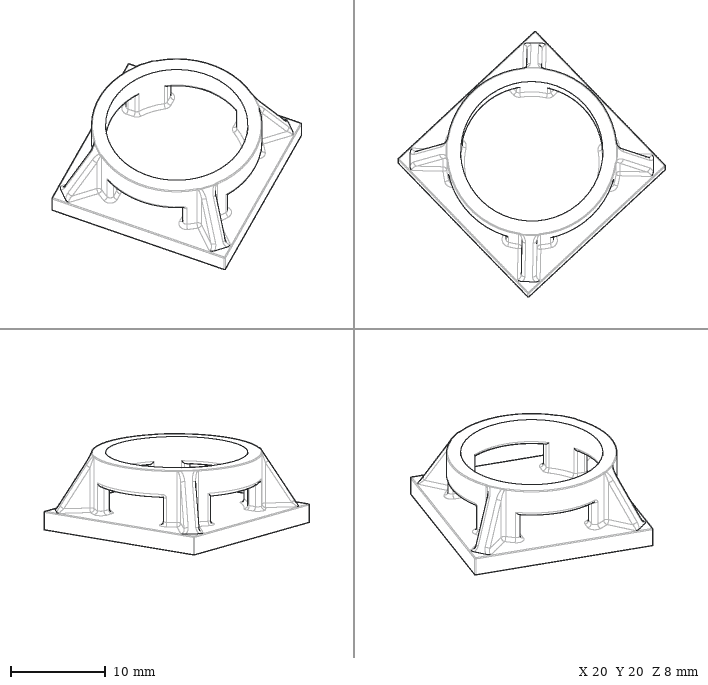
import cadquery as cq
import math

base_side = 20.0
base_height = 2.0
total_height = 8.0

ring_diameter = 18.0
bore_diameter = 15.0
window_width = 8.0
window_height = 3.0

rib_width = 1.6
rib_top_reach = 9.0
rib_foot_reach = 12.85

blend_radius = 0.4
edge_radius = 0.1

spare_height = 1.0
spare_plate_radius = 22.0
spare_rib_length = 40.0

tolerance = 0.002
ring_radius = ring_diameter / 2
bore_radius = bore_diameter / 2
mid_wall_radius = (ring_radius + bore_radius) / 2
window_top = base_height + window_height
rib_height = total_height - base_height
tall_height = total_height + spare_height


def block(length, width, bottom, top):
    solid = cq.Workplane("XY").box(length, width, top - bottom, centered=(True, True, False))
    return solid.translate((0, 0, bottom))


def cylinder(radius, height):
    return cq.Workplane("XY").circle(radius).extrude(height)


def turn_to_diagonals(solid):
    return solid.rotate((0, 0, 0), (0, 0, 1), 45)


def slope_reach(height):
    """Distance from the axis to the sloping rib faces at a given height."""
    run_per_height = (rib_foot_reach - rib_top_reach) / rib_height
    return rib_foot_reach - run_per_height * (height - base_height)


def axis_distance(edge):
    center = edge.Center()
    return math.hypot(center.x, center.y)


def is_level_at(edge, height):
    box = edge.BoundingBox()
    return abs(box.zmin - height) < tolerance and abs(box.zmax - height) < tolerance


def is_upright(edge):
    box = edge.BoundingBox()
    return box.xlen < tolerance and box.ylen < tolerance


def round_edges(body, radius, is_wanted):
    edges = [edge for edge in body.edges().vals() if is_wanted(edge)]
    return body.newObject(edges).fillet(radius)


def is_window_edge(edge):
    ring_underside = edge.geomType() == "CIRCLE" and is_level_at(edge, window_top)
    post_side = is_upright(edge) and edge.Center().z < window_top
    return ring_underside or post_side


def is_concave_corner(edge):
    foot = is_level_at(edge, base_height) and axis_distance(edge) < ring_diameter
    rib_to_ring = is_upright(edge) and abs(axis_distance(edge) - ring_radius) < tolerance
    return foot or (rib_to_ring and edge.Length() > rib_height)


def is_slope_side(edge):
    return edge.BoundingBox().zlen > rib_height / 2 and axis_distance(edge) > ring_radius + blend_radius


def is_ring_rim(edge):
    if edge.geomType() != "CIRCLE" or not is_level_at(edge, total_height):
        return False
    return abs(edge.radius() - ring_radius) < tolerance


def make_base():
    base = block(base_side, base_side, 0, base_height)
    return base.edges("|Z").fillet(edge_radius).faces(">Z").edges().fillet(edge_radius)


def make_ring():
    """Ring wall opened by windows along X and Y, with rounded window edges."""
    ring = cylinder(ring_radius, tall_height).cut(cylinder(bore_radius, tall_height))
    ring = ring.cut(block(base_side, window_width, base_height, window_top))
    ring = ring.cut(block(window_width, base_side, base_height, window_top))
    return round_edges(ring, blend_radius, is_window_edge)


def make_rib_bars():
    """Full-height bars along both diagonals, ending inside the ring wall."""
    bars = block(spare_rib_length, rib_width, base_height, tall_height)
    bars = bars.union(block(rib_width, spare_rib_length, base_height, tall_height))
    return turn_to_diagonals(bars).cut(cylinder(mid_wall_radius, tall_height))


def make_slope_envelope():
    """Four-sided pyramid stump whose faces are the sloping faces of the ribs."""
    lower_side = 2 * slope_reach(0)
    upper_side = 2 * slope_reach(tall_height)
    envelope = cq.Workplane("XY").rect(lower_side, lower_side).workplane(offset=tall_height)
    envelope = envelope.rect(upper_side, upper_side).loft(ruled=True)
    return turn_to_diagonals(envelope)


def make_upper_body():
    """Ring and ribs with all blends, trimmed to the flat top of the base and to the ring top."""
    plate = cylinder(spare_plate_radius, base_height)
    body = make_ring().union(make_rib_bars()).union(plate)
    body = round_edges(body, blend_radius, is_concave_corner)
    body = body.intersect(make_slope_envelope())
    body = round_edges(body, blend_radius, is_slope_side)
    flat_side = base_side - 2 * edge_radius
    return body.intersect(block(flat_side, flat_side, 0, total_height))


result = make_base().union(make_upper_body())
result = round_edges(result, edge_radius, is_ring_rim)